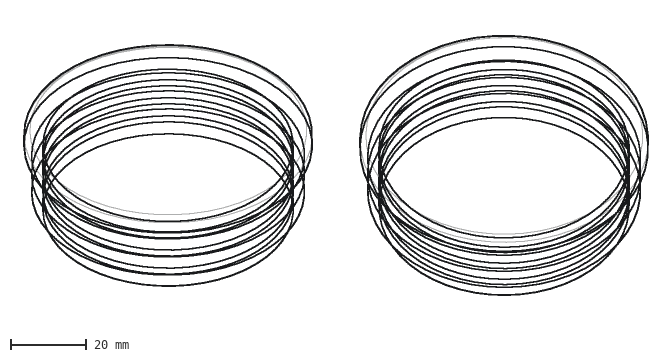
import cadquery as cq

cap_diameter = 76.0
cap_thickness = 5.0
cap_edge_radius = 1.5

total_height = 26.5
stem_diameter = 66.0
stem_height = total_height - cap_thickness

fin_diameter = 72.0
fin_height = 2.0
fin_count = 3
fin_pitch = 6.0
lowest_fin_base = 4.0


def make_stem():
    return cq.Workplane("XY").circle(stem_diameter / 2).extrude(stem_height)


def make_cap():
    cap = cq.Workplane("XY").workplane(offset=stem_height).circle(cap_diameter / 2).extrude(cap_thickness)
    return cap.faces(">Z").edges().fillet(cap_edge_radius)


def make_fin(base_z):
    """Disc that widens from the stem diameter to a sharp rim at its flat top."""
    top_z = base_z + fin_height
    profile = (
        cq.Workplane("XZ")
        .moveTo(0, base_z)
        .lineTo(stem_diameter / 2, base_z)
        .lineTo(fin_diameter / 2, top_z)
        .lineTo(0, top_z)
        .close()
    )
    return profile.revolve(360, (0, 0, 0), (0, 1, 0))


result = make_stem().union(make_cap())
for fin_index in range(fin_count):
    result = result.union(make_fin(lowest_fin_base + fin_index * fin_pitch))